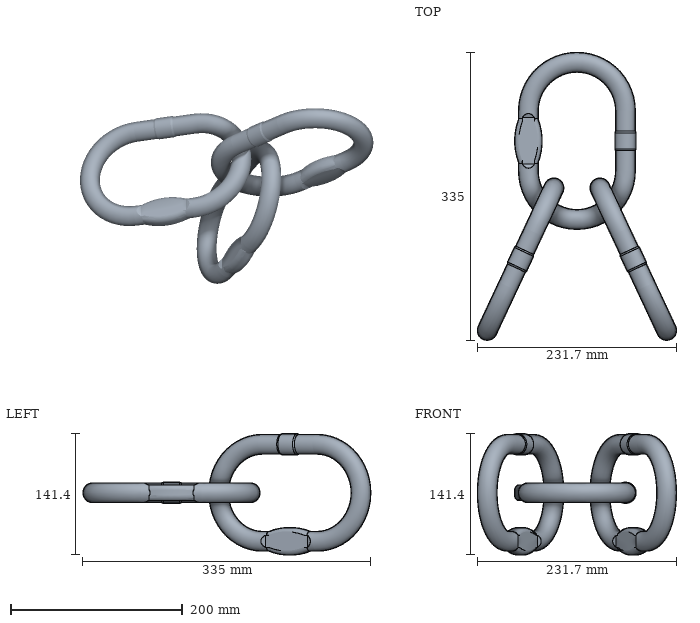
import cadquery as cq
import math

total_width = 231.7
total_length = 335.0

wire_diameter = 23.0
link_width = 136.0
link_length = 206.0
wire_radius = wire_diameter / 2
bend_radius = (link_width - wire_diameter) / 2
straight_length = link_length - link_width
half_straight = straight_length / 2

collar_diameter = 24.8
collar_length = 18.8
collar_taper = 2.0

grip_width = 32.0
grip_thickness = 18.8
grip_length = 52.2
grip_end_width = 22.0
grip_edge_radius = 6.5

flat_thickness = 18.5
flat_length = 54.2
ramp_length = 4.7

splay_angle = 25.1


def make_wire_ring():
    """Round wire swept around an oval centred on the origin, long side along Y."""
    path = (
        cq.Workplane("XY")
        .moveTo(bend_radius, 0)
        .lineTo(bend_radius, half_straight)
        .threePointArc((0, half_straight + bend_radius), (-bend_radius, half_straight))
        .lineTo(-bend_radius, -half_straight)
        .threePointArc((0, -half_straight - bend_radius), (bend_radius, -half_straight))
        .close()
    )
    return cq.Workplane("XZ", origin=(bend_radius, 0, 0)).circle(wire_radius).sweep(path)


def make_collar():
    """Collar with tapered ends around the +X leg."""
    collar_radius = collar_diameter / 2
    half_collar = collar_length / 2
    half_foot = half_collar + collar_taper
    return (
        cq.Workplane("XY", origin=(bend_radius, 0, 0))
        .moveTo(0, -half_foot)
        .lineTo(wire_radius, -half_foot)
        .lineTo(collar_radius, -half_collar)
        .lineTo(collar_radius, half_collar)
        .lineTo(wire_radius, half_foot)
        .lineTo(0, half_foot)
        .close()
        .revolve(360, (0, 0, 0), (0, 1, 0))
    )


def make_grip():
    """Barrel-shaped plate on the -X leg with rounded long edges."""
    half_length = grip_length / 2
    half_end = grip_end_width / 2
    return (
        cq.Workplane("XY", origin=(-bend_radius, 0, -grip_thickness / 2))
        .moveTo(half_end, -half_length)
        .threePointArc((grip_width / 2, 0), (half_end, half_length))
        .lineTo(-half_end, half_length)
        .threePointArc((-grip_width / 2, 0), (-half_end, -half_length))
        .close()
        .extrude(grip_thickness)
        .edges("%CIRCLE")
        .fillet(grip_edge_radius)
    )


def make_flat_cutters():
    """Cutters that flatten the +Z and -Z faces of the -X leg, with a ramp at each end."""
    half_floor = flat_length / 2
    half_top = half_floor + ramp_length
    upper = (
        cq.Workplane("YZ", origin=(-bend_radius, 0, 0))
        .moveTo(-half_floor, flat_thickness / 2)
        .lineTo(half_floor, flat_thickness / 2)
        .lineTo(half_top, wire_radius)
        .lineTo(-half_top, wire_radius)
        .close()
        .extrude(grip_width / 2, both=True)
    )
    return upper.union(upper.mirror("XY"))


def make_link():
    """One complete link lying in the XY plane, as a single solid."""
    link = make_wire_ring().union(make_collar()).union(make_grip()).cut(make_flat_cutters())
    return link.solids()


def make_lower_link(side):
    """A link stood upright and splayed; side is +1 for +X and -1 for -X."""
    half_run = (link_length - wire_diameter) / 2
    splay = math.radians(splay_angle)
    center_x = total_width / 2 - wire_radius - half_run * math.sin(splay)
    lowest_y = link_length / 2 - total_length
    center_y = lowest_y + wire_radius + half_run * math.cos(splay)
    return (
        make_link()
        .rotate((0, 0, 0), (0, 1, 0), -90)
        .rotate((0, 0, 0), (0, 0, 1), side * splay_angle)
        .translate((side * center_x, center_y, 0))
    )


master_link = make_link()
lower_links = [make_lower_link(side) for side in (-1, 1)]

result = cq.Compound.makeCompound([master_link.val(), *[link.val() for link in lower_links]])